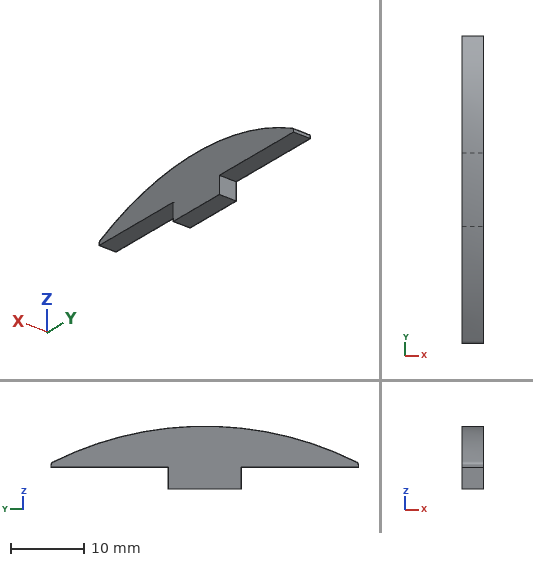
import cadquery as cq

length = 42.0
thickness = 3.0
height = 8.6

tab_length = 10.0
tab_height = 3.0

end_height = 0.6
end_radius = 0.5

half_length = length / 2
segment_height = height - tab_height


def arched_segment():
    """Flat-bottomed segment along Y with a circular arc on top."""
    body = (
        cq.Workplane("YZ")
        .moveTo(-half_length, 0)
        .lineTo(half_length, 0)
        .lineTo(half_length, end_height)
        .threePointArc((0, segment_height), (-half_length, end_height))
        .close()
        .extrude(thickness / 2, both=True)
    )
    upper_corners = cq.selectors.BoxSelector(
        (-thickness, -length, end_height / 2),
        (thickness, length, segment_height),
    )
    return body.edges("|X").edges(upper_corners).fillet(end_radius)


def tab():
    """Rectangular block hanging below the flat face."""
    return cq.Workplane("XY").box(
        thickness, tab_length, tab_height, centered=(True, True, False)
    ).translate((0, 0, -tab_height))


result = arched_segment().union(tab())